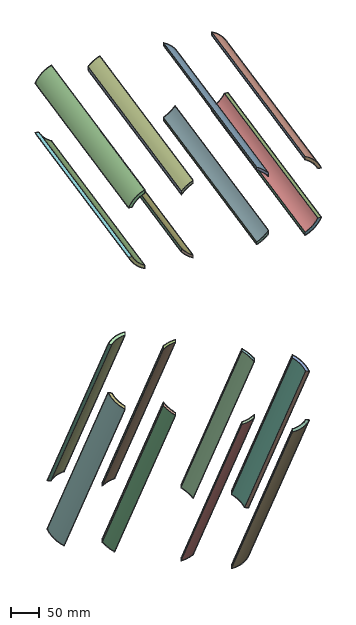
import cadquery as cq
import math

LENGTH = 445.0
WIDTH = 362.5
HEIGHT = 162.5

OUTER_TIP_Y = WIDTH / 2
OUTER_TOP_Z = HEIGHT / 2
OUTER_INBOARD_Y = 150.5
OUTER_BOTTOM_Z = 50.7
OUTER_RADIUS = 60.0
OUTER_WALL = 6.2

INNER_INBOARD_Y = 59.5
INNER_OUTBOARD_Y = 82.0
INNER_TOP_Z = 79.5
INNER_SHOULDER_Z = 62.7
INNER_RADIUS = 75.5
INNER_WALL = 5.0


def arc_center(start, end, radius):
    """Centre of the arc that bulges up and outboard from its inboard start to its end."""
    run = end[0] - start[0]
    drop = start[1] - end[1]
    chord = math.hypot(run, drop)
    offset = math.sqrt(radius**2 - (chord / 2) ** 2)
    return (
        (start[0] + end[0]) / 2 - offset * drop / chord,
        (start[1] + end[1]) / 2 - offset * run / chord,
    )


def point_at_y(center, radius, y):
    """Upper point of a circle at a given Y."""
    return (y, center[1] + math.sqrt(radius**2 - (y - center[0]) ** 2))


def point_at_z(center, radius, z):
    """Outboard point of a circle at a given Z."""
    return (center[0] + math.sqrt(radius**2 - (z - center[1]) ** 2), z)


def arc_middle(center, radius, start, end):
    """Middle point of the circular arc between two points."""
    start_angle = math.atan2(start[1] - center[1], start[0] - center[0])
    end_angle = math.atan2(end[1] - center[1], end[0] - center[0])
    angle = (start_angle + end_angle) / 2
    return (center[0] + radius * math.cos(angle), center[1] + radius * math.sin(angle))


def curved_strip(center, radius, wall, convex_ends, concave_ends):
    """Strip between two concentric arcs, each given by its inboard and outboard ends."""
    convex_start, convex_end = convex_ends
    concave_start, concave_end = concave_ends
    convex_middle = arc_middle(center, radius, convex_start, convex_end)
    concave_middle = arc_middle(center, radius - wall, concave_start, concave_end)
    return (
        cq.Workplane("YZ", origin=(-LENGTH / 2, 0, 0))
        .moveTo(*convex_start)
        .threePointArc(convex_middle, convex_end)
        .lineTo(*concave_end)
        .threePointArc(concave_middle, concave_start)
        .close()
        .extrude(LENGTH)
    )


def outer_strip():
    """Thicker strip with a vertical inboard edge and a horizontal bottom edge."""
    convex_ends = ((OUTER_INBOARD_Y, OUTER_TOP_Z), (OUTER_TIP_Y, OUTER_BOTTOM_Z))
    center = arc_center(*convex_ends, OUTER_RADIUS)
    concave_radius = OUTER_RADIUS - OUTER_WALL
    concave_ends = (
        point_at_y(center, concave_radius, OUTER_INBOARD_Y),
        point_at_z(center, concave_radius, OUTER_BOTTOM_Z),
    )
    return curved_strip(center, OUTER_RADIUS, OUTER_WALL, convex_ends, concave_ends)


def inner_strip():
    """Thinner strip with two vertical edges."""
    convex_ends = ((INNER_INBOARD_Y, INNER_TOP_Z), (INNER_OUTBOARD_Y, INNER_SHOULDER_Z))
    center = arc_center(*convex_ends, INNER_RADIUS)
    concave_radius = INNER_RADIUS - INNER_WALL
    concave_ends = (
        point_at_y(center, concave_radius, INNER_INBOARD_Y),
        point_at_y(center, concave_radius, INNER_OUTBOARD_Y),
    )
    return curved_strip(center, INNER_RADIUS, INNER_WALL, convex_ends, concave_ends)


def in_four_quadrants(strip):
    """Four separate copies of a strip, mirrored about the XZ and XY planes."""
    copies = []
    for side in (strip, strip.mirror("XZ")):
        for level in (side, side.mirror("XY")):
            copies.append(level.val())
    return copies


outer_strips = in_four_quadrants(outer_strip())
inner_strips = in_four_quadrants(inner_strip())

result = cq.Compound.makeCompound([*outer_strips, *inner_strips])